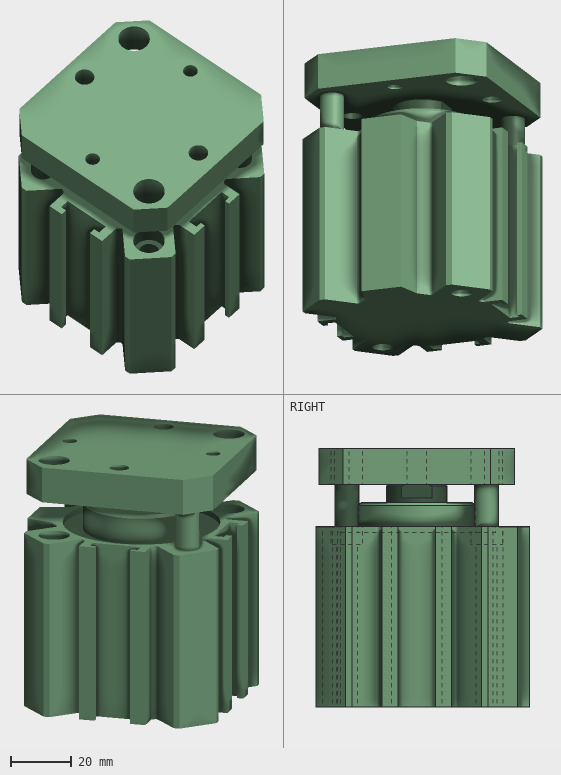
import cadquery as cq
import math

overall_width = 67.0
half_width = overall_width / 2
housing_height = 60.0
lobe_chamfer_end = 23.65
lobe_flat_end = 21.6
groove_foot = 13.0
groove_fillet = 1.0

slot_opening = 12.4
slot_cavity = 16.7
lip_back = 31.3
slot_floor = 27.95
arm_outer = 11.5
side_arm_tip = 33.0
front_arm_tip = half_width

rail_top = 37.5
rail_half_top = 7.05
rail_taper = 0.25

recess_diameter = 52.5
recess_depth = 2.0

collar_diameter = 39.0
collar_height = 8.0
collar_chamfer = 1.0
mount_hole_diameter = 7.0
mount_counterbore_diameter = 10.5
mount_counterbore_depth = 6

total_height = 86
plate_side = 65.0
plate_thickness = 12
plate_corner = 8.0
plate_access_hole = mount_counterbore_diameter
guide_offset = 23.2
guide_pin_diameter = 8.0
plate_hole_circle_radius = 24.9
large_plate_hole = 6.5
small_plate_hole = 4.9
rod_diameter = 20.0
rod_chamfer = 0.5
rod_across_flats = 17.2
flat_start = 1.55

collar_top = housing_height + collar_height
plate_bottom = total_height - plate_thickness
pin_spots = [(-guide_offset, -guide_offset), (guide_offset, guide_offset)]
mount_spots = [(-guide_offset, guide_offset), (guide_offset, -guide_offset)]

flank_shift = half_width - lobe_flat_end
groove_depth = groove_foot + flank_shift


def groove_meets(flank_at_axis, taper):
    """Point (along, outward) where the groove floor meets a flank: along = flank_at_axis - taper * outward."""
    outward = (groove_foot + groove_depth - flank_at_axis) / (1 - taper)
    return (groove_foot + groove_depth - outward, outward)


def slot_half(arm_tip):
    """Half of a T-slot side as (along, outward) points, from the groove to the slot floor."""
    return [
        groove_meets(arm_outer, 0),
        (arm_outer, arm_tip),
        (slot_opening / 2, arm_tip),
        (slot_opening / 2, lip_back),
        (slot_cavity / 2, lip_back),
        (slot_cavity / 2, slot_floor),
    ]


def rail_half():
    """Half of the rail side as (along, outward) points, from the groove to the rail top."""
    flank_at_axis = rail_half_top + rail_taper * rail_top
    return [groove_meets(flank_at_axis, rail_taper), (rail_half_top, rail_top)]


def side_points(middle_half):
    """One full side as (along, outward) points, from its negative to its positive end."""
    positive_half = [
        (lobe_chamfer_end, half_width),
        (lobe_flat_end, half_width),
        (groove_foot, groove_depth),
    ] + middle_half
    negative_half = [(-along, outward) for along, outward in positive_half]
    return negative_half + positive_half[::-1]


def turned(points, degrees):
    """Side points, drawn on the -Y side, turned about Z."""
    c = math.cos(math.radians(degrees))
    s = math.sin(math.radians(degrees))
    return [(along * c + outward * s, along * s - outward * c) for along, outward in points]


def make_housing():
    sides = [slot_half(front_arm_tip), slot_half(side_arm_tip), rail_half(), slot_half(side_arm_tip)]
    outline = []
    for index, middle_half in enumerate(sides):
        outline += turned(side_points(middle_half), 90 * index)
    body = cq.Workplane("XY").polyline(outline).close().extrude(housing_height)

    for index in range(len(sides)):
        for along in (-groove_foot, groove_foot):
            x, y = turned([(along, groove_depth)], 90 * index)[0]
            foot_edge = cq.selectors.NearestToPointSelector((x, y, housing_height / 2))
            body = body.edges("|Z").edges(foot_edge).fillet(groove_fillet)

    body = (
        body.faces(">Z")
        .workplane(origin=(0, 0, housing_height))
        .pushPoints(mount_spots)
        .cboreHole(mount_hole_diameter, mount_counterbore_diameter, mount_counterbore_depth)
    )

    recess_floor = housing_height - recess_depth
    recess = (
        cq.Workplane("XY", origin=(0, 0, recess_floor))
        .circle(recess_diameter / 2)
        .extrude(recess_depth)
    )
    collar = (
        cq.Workplane("XY", origin=(0, 0, recess_floor))
        .circle(collar_diameter / 2)
        .extrude(collar_top - recess_floor)
        .faces(">Z")
        .chamfer(collar_chamfer)
    )
    return body.cut(recess).union(collar)


def make_rod():
    rod_length = plate_bottom - collar_top
    rod = (
        cq.Workplane("XY", origin=(0, 0, collar_top))
        .circle(rod_diameter / 2)
        .extrude(rod_length)
        .faces(">Z")
        .chamfer(rod_chamfer)
    )
    flat_cut_depth = (rod_diameter - rod_across_flats) / 2
    flat_cuts = (
        cq.Workplane("XY", origin=(0, 0, collar_top + flat_start))
        .pushPoints([(side * (rod_across_flats + flat_cut_depth) / 2, 0) for side in (-1, 1)])
        .rect(flat_cut_depth, rod_diameter)
        .extrude(rod_length - flat_start)
    )
    return rod.cut(flat_cuts)


def make_moving_plate():
    plate = (
        cq.Workplane("XY", origin=(0, 0, plate_bottom))
        .rect(plate_side, plate_side)
        .extrude(plate_thickness)
        .edges("|Z")
        .chamfer(plate_corner)
    )
    hole_groups = [
        (plate_access_hole, mount_spots),
        (large_plate_hole, [(-plate_hole_circle_radius, 0), (plate_hole_circle_radius, 0)]),
        (small_plate_hole, [(0, -plate_hole_circle_radius), (0, plate_hole_circle_radius)]),
    ]
    for diameter, spots in hole_groups:
        plate = plate.cut(
            cq.Workplane("XY", origin=(0, 0, plate_bottom))
            .pushPoints(spots)
            .circle(diameter / 2)
            .extrude(plate_thickness)
        )

    guide_pins = (
        cq.Workplane("XY", origin=(0, 0, housing_height))
        .pushPoints(pin_spots)
        .circle(guide_pin_diameter / 2)
        .extrude(plate_bottom - housing_height)
    )
    return plate.union(guide_pins).union(make_rod())


housing = make_housing()
moving_plate = make_moving_plate()

result = cq.Compound.makeCompound([housing.solids().val(), moving_plate.solids().val()])